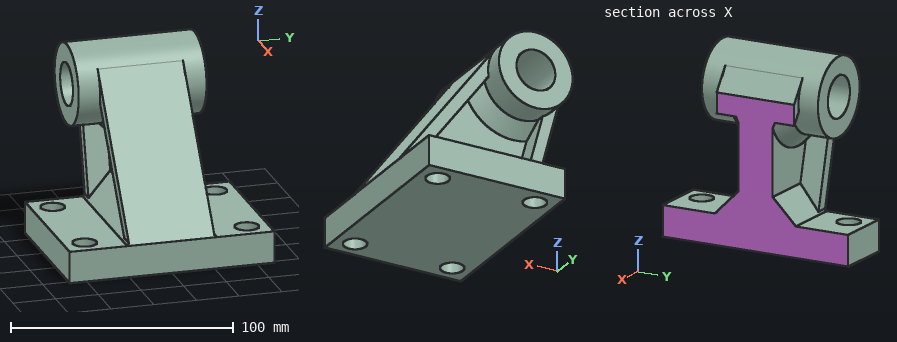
import cadquery as cq
import math

BASE_LENGTH = 70.0
BASE_WIDTH = 96.0
BASE_THICKNESS = 15.0
BOLT_HOLE_DIAMETER = 11.0
BOLT_HOLE_INSET = 10.0

HUB_DIAMETER = 38.0
HUB_RADIUS = HUB_DIAMETER / 2
HUB_LENGTH = 60.0
BORE_DIAMETER = 20.0
HUB_X = 5.0
TOTAL_HEIGHT = 90.0
HUB_Z = TOTAL_HEIGHT - HUB_RADIUS

PEDESTAL_WIDTH = 40.0
WALL_THICKNESS = 6.0
WEB_THICKNESS = 18.0
FOOT_BEVEL = 12.0
HUB_BEVEL = 7.0


def tangent_point(foot_x, side):
    """Point where a line from the base's top edge touches the hub circle.

    side is +1 for the right-hand tangent and -1 for the left-hand one.
    """
    run = foot_x - HUB_X
    drop = BASE_THICKNESS - HUB_Z
    to_foot = math.atan2(drop, run)
    spread = math.acos(HUB_RADIUS / math.hypot(run, drop))
    angle = to_foot + side * spread
    return HUB_X + HUB_RADIUS * math.cos(angle), HUB_Z + HUB_RADIUS * math.sin(angle)


def extrude_along_y(profile, width):
    """Extrude an XZ profile symmetrically about Y = 0."""
    return profile.extrude(width / 2, both=True)


def cylinder_along_y(diameter, width):
    """Cylinder on the hub axis, centred on Y = 0."""
    return extrude_along_y(cq.Workplane("XZ").center(HUB_X, HUB_Z).circle(diameter / 2), width)


def make_base():
    """Base plate with four bolt holes."""
    plate = cq.Workplane("XY").box(BASE_LENGTH, BASE_WIDTH, BASE_THICKNESS, centered=(False, True, False))
    hole_spacing_x = BASE_LENGTH - 2 * BOLT_HOLE_INSET
    hole_spacing_y = BASE_WIDTH - 2 * BOLT_HOLE_INSET
    return (
        plate.faces(">Z").workplane(origin=(BASE_LENGTH / 2, 0, BASE_THICKNESS))
        .rarray(hole_spacing_x, hole_spacing_y, 2, 2)
        .hole(BOLT_HOLE_DIAMETER)
    )


def make_outline(width):
    """Pedestal silhouette: both base edges joined to the hub by tangent lines."""
    corners = [
        (0, BASE_THICKNESS),
        (BASE_LENGTH, BASE_THICKNESS),
        tangent_point(BASE_LENGTH, 1),
        tangent_point(0, -1),
    ]
    return extrude_along_y(cq.Workplane("XZ").polyline(corners).close(), width)


def make_wall(foot_x, side):
    """Flat wall from a base edge up to its tangent point on the hub."""
    touch_x, touch_z = tangent_point(foot_x, side)
    inward_x = (HUB_X - touch_x) / HUB_RADIUS
    inward_z = (HUB_Z - touch_z) / HUB_RADIUS
    shift_x = WALL_THICKNESS * inward_x
    shift_z = WALL_THICKNESS * inward_z
    corners = [
        (foot_x, BASE_THICKNESS),
        (touch_x, touch_z),
        (touch_x + shift_x, touch_z + shift_z),
        (foot_x + WALL_THICKNESS / inward_x, BASE_THICKNESS),
    ]
    return extrude_along_y(cq.Workplane("XZ").polyline(corners).close(), PEDESTAL_WIDTH)


def make_foot_bevels():
    """Sloping feet on both sides of the web, trimmed to the pedestal silhouette."""
    half_top = WEB_THICKNESS / 2
    half_bottom = half_top + FOOT_BEVEL
    top_z = BASE_THICKNESS + FOOT_BEVEL
    section = [
        (-half_bottom, BASE_THICKNESS),
        (half_bottom, BASE_THICKNESS),
        (half_top, top_z),
        (-half_top, top_z),
    ]
    bevels = cq.Workplane("YZ").polyline(section).close().extrude(BASE_LENGTH)
    return bevels.intersect(make_outline(2 * half_bottom))


def make_hub_bevels():
    """Conical transitions from both web faces to the hub, trimmed to the silhouette."""
    half_web = WEB_THICKNESS / 2
    half_width = half_web + HUB_BEVEL
    inner_x = HUB_X + HUB_RADIUS
    outer_x = inner_x + HUB_BEVEL
    section = [
        (HUB_X, -half_width),
        (inner_x, -half_width),
        (outer_x, -half_web),
        (outer_x, half_web),
        (inner_x, half_width),
        (HUB_X, half_width),
    ]
    bevels = (
        cq.Workplane("XY", origin=(0, 0, HUB_Z))
        .polyline(section).close()
        .revolve(360, (HUB_X, 0, 0), (HUB_X, 1, 0))
    )
    return bevels.intersect(make_outline(2 * half_width))


def make_pedestal():
    """Web, leaning walls and bevels between base and hub."""
    web = make_outline(WEB_THICKNESS)
    left_wall = make_wall(0, -1)
    right_wall = make_wall(BASE_LENGTH, 1)
    return web.union(left_wall).union(right_wall).union(make_foot_bevels()).union(make_hub_bevels())


hub = cylinder_along_y(HUB_DIAMETER, HUB_LENGTH)
bore = cylinder_along_y(BORE_DIAMETER, HUB_LENGTH)
result = make_base().union(make_pedestal()).union(hub).cut(bore)